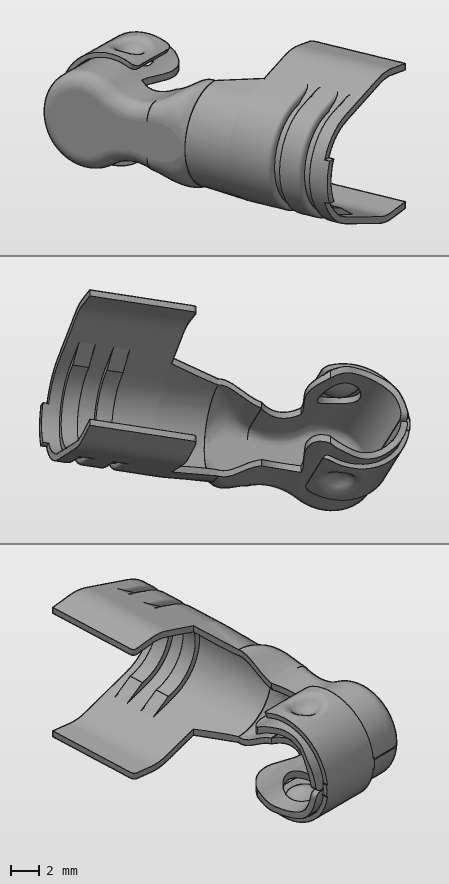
import cadquery as cq
import math


SHEET = 0.5
WIDE = 7.44
CLEAR = 0.25

CUP_R = 3.62
CUP_TOP = 8.92
CUP_DIP_TOP = 8.7
CUP_DIP_START_X = -3.07
CUP_DIP_FLAT_X = (-2.13, 0.12)
CUP_DIP_END_X = 1.36
CHEEK_X = 2.08
CHEEK_CURVE = [(3.0, 7.98), (3.22, 6.82), (2.83, 4.88)]
CHEEK_FOOT_X = 2.68
FLOOR_FILLET = 1.15
NECK_X = 4.2
NECK_HALF = 2.3
NECK_R = (NECK_X**2 + NECK_HALF**2 - CUP_R**2) / (2 * (CUP_R - NECK_HALF))
NECK_END_X = 5.6
NECK_TOP = 3.82
NECK_DIP_Y = 3.32
SEAM_GAP = 0.07
SEAM_INNER_X = -3.32
SEAM_CORNER_R = 0.5

FLARE_STATIONS = [(6.7, 3.07, 1.64), (7.8, 3.75, 2.63)]
THROAT_X = 8.8
THROAT_HALF = 3.95
THROAT_FLAT = 0.1
THROAT_WALL_ANGLE = 2.0

BARREL_START_X = 12.47
BARREL_END_X = 20.38
BARREL_R = 4.35
WALL_ANGLE = 18.2
NECK_TOP_AT_BARREL = 4.59
WING_BEND_R = 3.97
WING_BEND_START_Y = 7.25
TIP_ANGLE = 6.6
WING_TOP = 10.65
TIP_CORNER_R = 0.3
TAB_HALF = 1.6
TAB_END_X = 20.8

BEAD_CENTRES_X = [16.35, 18.9]
BEAD_DEPTH = 0.45
BEAD_SLOT = 0.6
BEAD_WIDTH = 1.2
BEAD_LIP_R = 0.27
BEAD_TOP_Y = 5.0
BEAD_RUNOUT_ANGLE = 33.0

BAND_R = 4.21
BAND_SHEET = 0.37
BAND_X = BAND_R - BAND_SHEET - CUP_R
BAND_BOTTOM = 3.45
BAND_TOP = 8.13
BAND_END_ANGLE = 59.5
BAND_CORNER_R = 0.5
BAND_TAB_HALF = 0.5
BAND_TAB_STEP = 0.087

DIMPLE_X = 0.5
DIMPLE_Y = 5.78
DIMPLE_DEPTH = 0.85
DIMPLE_BALL_R = 1.45
DIMPLE_LIP_R = 0.7
DIMPLE_HOLE_R = 1.54


def block(x_range, y_range, z_range):
    (x0, x1), (y0, y1), (z0, z1) = x_range, y_range, z_range
    return cq.Workplane("XY").box(x1 - x0, y1 - y0, z1 - z0, centered=False).translate((x0, y0, z0))


def neck_end_half(inset):
    """Half width at the end of the neck, inset from its outer face."""
    return NECK_HALF + NECK_R - math.sqrt((NECK_R + inset) ** 2 - (NECK_END_X - NECK_X) ** 2)


def cup_plan(inset, floor_y):
    """Cup circle running through concave arcs into the neck, raised from floor_y."""
    cup_r = CUP_R - inset
    neck_r = NECK_R + inset
    arc_z = NECK_HALF + NECK_R
    reach = math.hypot(NECK_X, arc_z)
    join_x = NECK_X * cup_r / reach
    join_z = arc_z * cup_r / reach
    end_z = neck_end_half(inset)
    waist = (NECK_X, arc_z - neck_r)
    solid = (
        cq.Workplane("XZ", origin=(0, floor_y, 0))
        .moveTo(NECK_END_X, end_z)
        .threePointArc(waist, (join_x, join_z))
        .threePointArc((-cup_r, 0), (join_x, -join_z))
        .threePointArc((waist[0], -waist[1]), (NECK_END_X, -end_z))
        .close()
        .extrude(-(CUP_TOP + inset))
    )
    return solid.faces("<Y").edges("%CIRCLE").fillet(FLOOR_FILLET - inset)


def cup_side_profile():
    """Side outline of the cup and neck, through all Z."""
    left = -CUP_R - CLEAR
    dip = [(x, CUP_DIP_TOP) for x in CUP_DIP_FLAT_X] + [(CUP_DIP_END_X, CUP_TOP)]
    return (
        cq.Workplane("XY", origin=(0, 0, -WIDE))
        .moveTo(left, -CLEAR)
        .lineTo(left, CUP_TOP)
        .lineTo(CUP_DIP_START_X, CUP_TOP)
        .spline(dip, tangents=[(1, 0), (1, 0)], includeCurrent=True)
        .lineTo(CHEEK_X, CUP_TOP)
        .spline([*CHEEK_CURVE, (CHEEK_FOOT_X, NECK_TOP)], includeCurrent=True)
        .threePointArc((NECK_X, NECK_DIP_Y), (NECK_END_X, NECK_TOP))
        .lineTo(NECK_END_X, -CLEAR)
        .close()
        .extrude(2 * WIDE)
    )


def seam_cut():
    """Narrow slit where the wrapped cup wall meets itself, with rounded upper corners."""
    outside = -CUP_R - CLEAR
    slit = block((outside, SEAM_INNER_X), (0, CUP_TOP + CLEAR), (-SEAM_GAP / 2, SEAM_GAP / 2))
    slit = slit.union(
        block((outside, 0), (FLOOR_FILLET, CUP_TOP + CLEAR), (-SEAM_GAP / 2, SEAM_GAP / 2))
    )
    corner_z = SEAM_GAP / 2 + SEAM_CORNER_R
    corner_y = CUP_TOP - SEAM_CORNER_R
    rounds = (
        cq.Workplane("YZ", origin=(outside, 0, 0))
        .pushPoints([(corner_y, corner_z), (corner_y, -corner_z)])
        .circle(SEAM_CORNER_R)
        .extrude(-outside)
    )
    notch = block((outside, 0), (corner_y, CUP_TOP + CLEAR), (-corner_z, corner_z))
    return slit.union(notch.cut(rounds))


def make_socket():
    shell = cup_plan(0, 0).cut(cup_plan(SHEET, SHEET)).intersect(cup_side_profile())
    dimple_holes = (
        cq.Workplane("XY", origin=(DIMPLE_X, DIMPLE_Y, -WIDE)).circle(DIMPLE_HOLE_R).extrude(2 * WIDE)
    )
    return shell.cut(seam_cut()).cut(dimple_holes)


def channel_wire(x, flat, corner_r, wall_angle, top, inset):
    """Closed U section at x: flat floor, corner arcs and walls leaning out by wall_angle."""
    lean = math.radians(wall_angle)
    radius = corner_r - inset
    wall_y = corner_r - radius * math.sin(lean)
    wall_z = flat + radius * math.cos(lean)
    middle = math.radians(45 + wall_angle / 2)
    mid_y = corner_r - radius * math.sin(middle)
    mid_z = flat + radius * math.cos(middle)
    top_y = top + inset
    top_z = wall_z + (top_y - wall_y) * math.tan(lean)
    section = (
        cq.Workplane("YZ", origin=(x, 0, 0))
        .moveTo(top_y, top_z)
        .lineTo(wall_y, wall_z)
    )
    if flat > 0:
        section = (
            section.threePointArc((mid_y, mid_z), (inset, flat))
            .lineTo(inset, -flat)
            .threePointArc((mid_y, -mid_z), (wall_y, -wall_z))
        )
    else:
        section = section.threePointArc((inset, 0), (wall_y, -wall_z))
    return section.lineTo(top_y, -top_z).close().val()


def channel(stations, ruled):
    """Open channel of sheet thickness through sections (x, flat, corner_r, wall_angle, top)."""
    outer, inner = [
        cq.Solid.makeLoft([channel_wire(*station, inset) for station in stations], ruled)
        for inset in (0, SHEET)
    ]
    return cq.Workplane(outer).cut(cq.Workplane(inner))


def make_transition():
    throat_r = THROAT_HALF - THROAT_FLAT
    flare = [(NECK_END_X, neck_end_half(0) - FLOOR_FILLET, FLOOR_FILLET, 0, NECK_TOP)]
    flare += [(x, half - corner_r, corner_r, 0, NECK_TOP) for x, half, corner_r in FLARE_STATIONS]
    flare.append((THROAT_X, THROAT_FLAT, throat_r, THROAT_WALL_ANGLE, NECK_TOP))
    throat = [
        (THROAT_X, 0, THROAT_HALF, THROAT_WALL_ANGLE, NECK_TOP),
        (BARREL_START_X, 0, BARREL_R, WALL_ANGLE, NECK_TOP_AT_BARREL),
    ]
    return channel(flare, False).union(channel(throat, True))


def wall_point(y, inset):
    """Point (y, z) on the straight wing wall, inset from its outer face."""
    lean = math.radians(WALL_ANGLE)
    start_y = BARREL_R * (1 - math.sin(lean))
    start_z = BARREL_R * math.cos(lean)
    z = start_z + (y - start_y) * math.tan(lean)
    return (y + inset * math.sin(lean), z - inset * math.cos(lean))


def barrel_region(inset, x0, x1):
    """Filled barrel from x0 to x1, inset from its outer face."""
    lean = math.radians(WALL_ANGLE)
    tip = math.radians(TIP_ANGLE)
    radius = BARREL_R - inset
    bend_r = WING_BEND_R - inset
    floor_end = (BARREL_R - radius * math.sin(lean), radius * math.cos(lean))
    bend_start = wall_point(WING_BEND_START_Y, inset)
    centre_y = bend_start[0] + bend_r * math.sin(lean)
    centre_z = bend_start[1] - bend_r * math.cos(lean)
    crown = (centre_y, centre_z + bend_r)
    bend_end = (centre_y + bend_r * math.sin(tip), centre_z + bend_r * math.cos(tip))
    top_y = WING_TOP + inset
    top_z = bend_end[1] - (top_y - bend_end[0]) * math.tan(tip)
    return (
        cq.Workplane("YZ", origin=(x0, 0, 0))
        .moveTo(top_y, top_z)
        .lineTo(*bend_end)
        .threePointArc(crown, bend_start)
        .lineTo(*floor_end)
        .threePointArc((inset, 0), (floor_end[0], -floor_end[1]))
        .lineTo(bend_start[0], -bend_start[1])
        .threePointArc((crown[0], -crown[1]), (bend_end[0], -bend_end[1]))
        .lineTo(top_y, -top_z)
        .close()
        .extrude(x1 - x0)
    )


def bead_region(inset, centre_x, width):
    """Filled space inside a bead floor: an arc that runs out along straight lines onto the wings."""
    slope = math.radians(BEAD_RUNOUT_ANGLE)
    along = (math.cos(slope), math.sin(slope))
    normal = (-math.sin(slope), math.cos(slope))
    run_y, run_z = wall_point(BEAD_TOP_Y, 0)
    radius = BARREL_R - inset
    offset = (run_y - BARREL_R) * normal[0] + run_z * normal[1] - (inset - BEAD_DEPTH)
    step = math.sqrt(radius**2 - offset**2)
    corner = (
        BARREL_R + offset * normal[0] + step * along[0],
        offset * normal[1] + step * along[1],
    )
    end = (corner[0] + 2 * WIDE * along[0], corner[1] + 2 * WIDE * along[1])
    return (
        cq.Workplane("YZ", origin=(centre_x - width / 2, 0, 0))
        .moveTo(*end)
        .lineTo(*corner)
        .threePointArc((inset, 0), (corner[0], -corner[1]))
        .lineTo(end[0], -end[1])
        .close()
        .extrude(width)
    )


def bead_rib(centre_x):
    """Inner side of a bead: the sheet pushed into the barrel."""
    x0 = centre_x - BEAD_WIDTH / 2
    inside = barrel_region(SHEET, x0, x0 + BEAD_WIDTH)
    return inside.cut(bead_region(BEAD_DEPTH + SHEET, centre_x, BEAD_WIDTH))


def bead_groove(centre_x):
    """Outer side of a bead: everything outside its floor, one slot wide."""
    half = BEAD_SLOT / 2
    outside = block((centre_x - half, centre_x + half), (-CLEAR, BEAD_TOP_Y + CLEAR), (-WIDE, WIDE))
    return outside.cut(bead_region(BEAD_DEPTH, centre_x, BEAD_SLOT))


def is_groove_rim(edge):
    """True for the floor arcs where a groove breaks the outer face of the barrel."""
    middle = edge.positionAt(0.5)
    in_bead = any(abs(middle.x - centre_x) < BEAD_WIDTH / 2 for centre_x in BEAD_CENTRES_X)
    return in_bead and middle.y < BEAD_DEPTH / 2


def make_barrel():
    barrel = barrel_region(0, BARREL_START_X, BARREL_END_X)
    for centre_x in BEAD_CENTRES_X:
        barrel = barrel.cut(bead_groove(centre_x))
    barrel = barrel.edges("%CIRCLE").filter(is_groove_rim).fillet(BEAD_LIP_R)
    inside = barrel_region(SHEET, BARREL_START_X, BARREL_END_X)
    for centre_x in BEAD_CENTRES_X:
        inside = inside.cut(bead_rib(centre_x))
    barrel = barrel.cut(inside)
    return barrel.faces(">Y").edges("<X").fillet(TIP_CORNER_R)


def make_tab():
    tab = barrel_region(0, BARREL_END_X, TAB_END_X).cut(barrel_region(SHEET, BARREL_END_X, TAB_END_X))
    return tab.intersect(block((BARREL_END_X, TAB_END_X), (0, BARREL_R), (-TAB_HALF, TAB_HALF)))


terminal = make_socket().union(make_transition()).union(make_barrel()).union(make_tab())


def band_ring(y0, y1):
    return (
        cq.Workplane("XZ", origin=(BAND_X, y0, 0))
        .circle(BAND_R)
        .circle(BAND_R - BAND_SHEET)
        .extrude(y0 - y1)
    )


def band_gap():
    """Wedge that opens the ring toward +X."""
    angle = math.radians(BAND_END_ANGLE)
    far_x = 2 * BAND_R * math.cos(angle)
    far_z = 2 * BAND_R * math.sin(angle)
    return (
        cq.Workplane("XZ", origin=(BAND_X, 0, 0))
        .polyline([(0, 0), (far_x, far_z), (far_x, -far_z)])
        .close()
        .extrude(-CUP_TOP)
    )


def band_core():
    """Filled band, without its tab."""
    return (
        cq.Workplane("XZ", origin=(BAND_X, BAND_BOTTOM, 0))
        .circle(BAND_R - BAND_SHEET / 2)
        .extrude(BAND_BOTTOM - BAND_TOP)
    )


def dimple_balls(radius):
    """A ball sunk into the band from above and its mirror image below."""
    centre_z = BAND_R - DIMPLE_DEPTH + DIMPLE_BALL_R
    ball = cq.Workplane("XY").sphere(radius)
    upper = ball.translate((DIMPLE_X, DIMPLE_Y, centre_z))
    lower = ball.translate((DIMPLE_X, DIMPLE_Y, -centre_z))
    return upper.union(lower)


def is_dimple_rim(edge):
    """True for the closed edge where a dimple breaks the outer face of the band."""
    middle = edge.positionAt(0.25)
    radius = math.hypot(middle.x - BAND_X, middle.z)
    offset = math.hypot(middle.x - DIMPLE_X, middle.y - DIMPLE_Y)
    return abs(radius - BAND_R) < BAND_SHEET / 4 and offset < DIMPLE_BALL_R


def make_band():
    ring = band_ring(BAND_BOTTOM, BAND_TOP).cut(band_gap())
    ring = ring.edges("%LINE and #Y").fillet(BAND_CORNER_R)
    tab = band_ring(BAND_BOTTOM - BAND_TAB_STEP, BAND_TOP + BAND_TAB_STEP).intersect(
        block((-WIDE, 0), (0, CUP_TOP), (-BAND_TAB_HALF, BAND_TAB_HALF))
    )
    ring = ring.union(tab)
    bumps = dimple_balls(DIMPLE_BALL_R + BAND_SHEET).intersect(band_core())
    ring = ring.union(bumps).cut(dimple_balls(DIMPLE_BALL_R))
    return ring.edges().filter(is_dimple_rim).fillet(DIMPLE_LIP_R)


band = make_band()
result = cq.Compound.makeCompound([terminal.val(), band.val()])